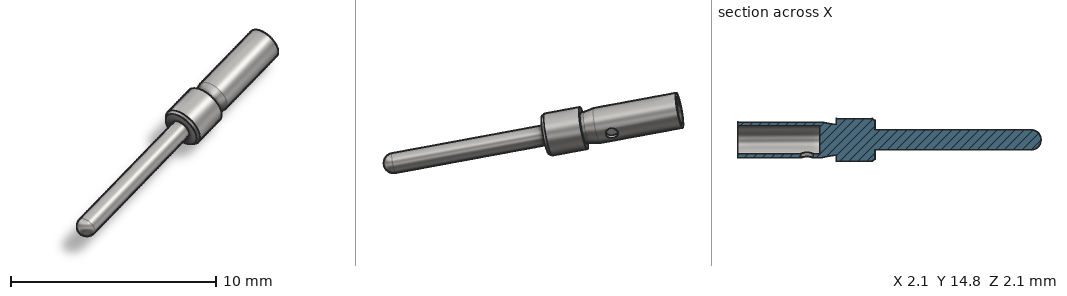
import cadquery as cq
import math


pin_diameter = 1.0
collar_diameter = 2.1
neck_diameter = 1.55
barrel_diameter = 1.75
bore_diameter = 1.35
inspection_hole_diameter = 0.6

overall_length = 14.8
pin_length = 8.1
collar_length = 1.9
collar_chamfer_length = 0.15
collar_chamfer_depth = 0.1
neck_length = 0.15
taper_length = 0.52
bore_depth = 4.0
inspection_hole_from_back = 3.38

pin_tip_y = -pin_length
collar_back_y = collar_length
taper_start_y = collar_back_y + neck_length
barrel_start_y = taper_start_y + taper_length
back_y = overall_length - pin_length

pin_radius = pin_diameter / 2
collar_radius = collar_diameter / 2
neck_radius = neck_diameter / 2
barrel_radius = barrel_diameter / 2


def turned_body():
    """Revolve the half profile: domed pin, collar, neck, taper and barrel."""
    dome_center_y = pin_tip_y + pin_radius
    dome_mid_offset = pin_radius * math.sin(math.radians(45))
    profile = (
        cq.Workplane("XY")
        .moveTo(0, pin_tip_y)
        .threePointArc(
            (dome_mid_offset, dome_center_y - dome_mid_offset),
            (pin_radius, dome_center_y),
        )
        .lineTo(pin_radius, 0)
        .lineTo(collar_radius - collar_chamfer_depth, 0)
        .lineTo(collar_radius, collar_chamfer_length)
        .lineTo(collar_radius, collar_back_y)
        .lineTo(neck_radius, collar_back_y)
        .lineTo(neck_radius, taper_start_y)
        .lineTo(barrel_radius, barrel_start_y)
        .lineTo(barrel_radius, back_y)
        .lineTo(0, back_y)
        .close()
    )
    return profile.revolve(360, (0, 0, 0), (0, 1, 0))


def crimp_bore():
    """Blind wire bore entering from the back end of the barrel."""
    return (
        cq.Workplane("XZ", origin=(0, back_y, 0))
        .circle(bore_diameter / 2)
        .extrude(bore_depth)
    )


def inspection_hole():
    """Radial hole through the -Z wall of the barrel, into the bore."""
    hole_y = back_y - inspection_hole_from_back
    return (
        cq.Workplane("XY", origin=(0, hole_y, 0))
        .circle(inspection_hole_diameter / 2)
        .extrude(-barrel_radius)
    )


result = turned_body().cut(crimp_bore()).cut(inspection_hole())